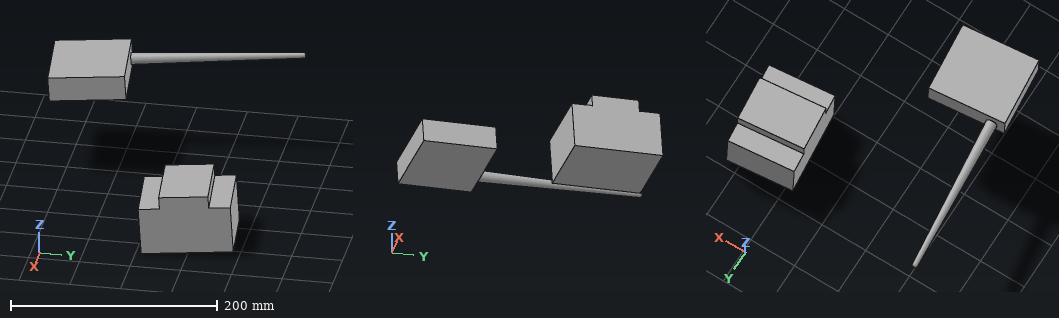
import cadquery as cq

TILT_ABOUT_X = 3.58
TURN_ABOUT_Z = 5.83

PLATE_WIDTH = 82.8
PLATE_DEPTH = 75.0
PLATE_THICKNESS = 25.0
HANDLE_LENGTH = 170.0
HANDLE_BASE_RADIUS = 6.0
HANDLE_TIP_RADIUS = 3.0
HANDLE_TIP_ROUNDING = 2.0
HANDLE_X = 14.0
HANDLE_Z = 10.5

BLOCK_WIDTH = 72.0
BLOCK_DEPTH = 90.0
BLOCK_HEIGHT = 60.2
STEP_DEPTH = 48.0
STEP_HEIGHT = 12.2
BASE_HEIGHT = BLOCK_HEIGHT - STEP_HEIGHT
SHOULDER_DEPTH = (BLOCK_DEPTH - STEP_DEPTH) / 2

BLOCK_CORNER = (170.3, 97.4, -87.95)


def place_in_tilted_frame(body):
    """Turn a body from the shared frame into its final orientation."""
    tilted = body.rotate((0, 0, 0), (1, 0, 0), TILT_ABOUT_X)
    return tilted.rotate((0, 0, 0), (0, 0, 1), TURN_ABOUT_Z)


def make_handle():
    """Tapered rod running back from the plate along +Y, its tip edge rounded."""
    half_section = (
        cq.Workplane("XY")
        .lineTo(-HANDLE_BASE_RADIUS, 0)
        .lineTo(-HANDLE_TIP_RADIUS, HANDLE_LENGTH)
        .lineTo(0, HANDLE_LENGTH)
        .close()
    )
    rod = half_section.revolve(360, (0, 0), (0, 1)).faces(">Y").edges().fillet(HANDLE_TIP_ROUNDING)
    return rod.translate((HANDLE_X, PLATE_DEPTH, HANDLE_Z))


def make_paddle():
    """Plate and handle in one piece."""
    plate = cq.Workplane("XY").box(PLATE_WIDTH, PLATE_DEPTH, PLATE_THICKNESS, centered=False)
    return plate.union(make_handle()).solids()


def make_stepped_block():
    """Base with its centred step, running the full width along X."""
    base = cq.Workplane("XY").box(BLOCK_WIDTH, BLOCK_DEPTH, BASE_HEIGHT, centered=False)
    step = (
        cq.Workplane("XY")
        .box(BLOCK_WIDTH, STEP_DEPTH, BLOCK_HEIGHT, centered=False)
        .translate((0, SHOULDER_DEPTH, 0))
    )
    return base.union(step).solids().translate(BLOCK_CORNER)


paddle = place_in_tilted_frame(make_paddle())
stepped_block = place_in_tilted_frame(make_stepped_block())

result = cq.Compound.makeCompound([paddle.val(), stepped_block.val()])